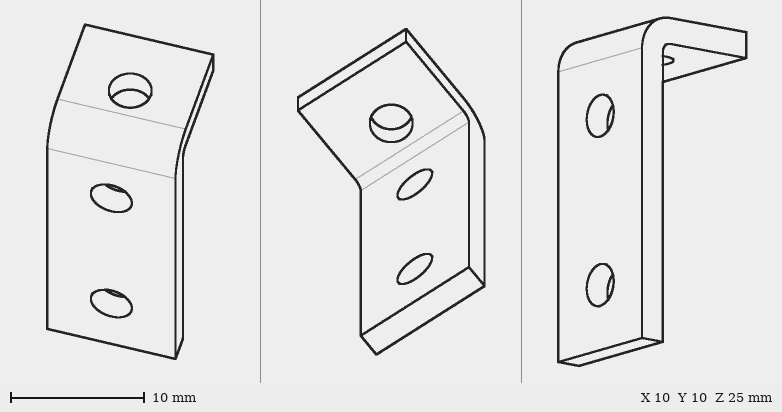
import cadquery as cq

width = 10.0
depth = 10.0
height = 25.0
thickness = 2.0
inner_bend_radius = 0.7
outer_bend_radius = inner_bend_radius + thickness

hole_diameter = 3.2
lower_hole_z = 5.0
upright_hole_spacing = 13.0
upright_hole_heights = [lower_hole_z, lower_hole_z + upright_hole_spacing]


def bent_strip():
    """L-shaped side profile, extruded across the width, with a rounded bend."""
    profile = [
        (0, 0),
        (thickness, 0),
        (thickness, height - thickness),
        (depth, height - thickness),
        (depth, height),
        (0, height),
    ]
    strip = cq.Workplane("YZ").polyline(profile).close().extrude(width)
    outer_corner = cq.selectors.NearestToPointSelector((width / 2, 0, height))
    inner_corner = cq.selectors.NearestToPointSelector((width / 2, thickness, height - thickness))
    strip = strip.edges(outer_corner).fillet(outer_bend_radius)
    return strip.edges(inner_corner).fillet(inner_bend_radius)


upright_holes = (
    cq.Workplane("XZ")
    .pushPoints([(width / 2, z) for z in upright_hole_heights])
    .circle(hole_diameter / 2)
    .extrude(-thickness)
)

top_hole = (
    cq.Workplane("XY", origin=(width / 2, depth / 2, height - thickness))
    .circle(hole_diameter / 2)
    .extrude(thickness)
)

result = bent_strip().cut(upright_holes).cut(top_hole)